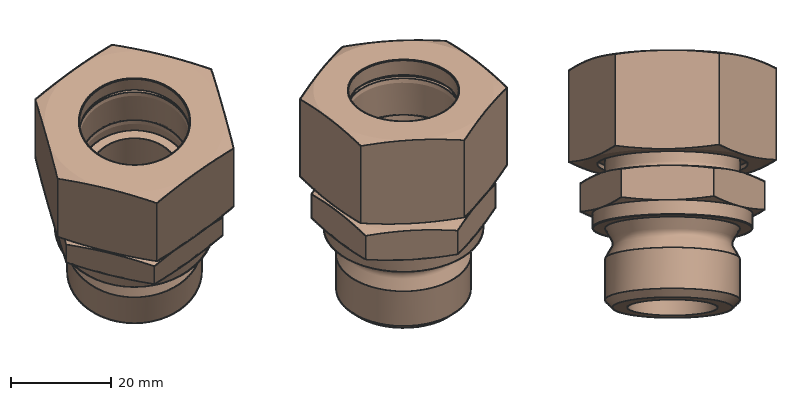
import cadquery as cq
import math


HEX_SIDES = 6
HALF_SIDE_ANGLE = 180 / HEX_SIDES
HEX_CHAMFER_ANGLE = math.radians(15)

TUBE_RADIUS = 22 / 2
UPPER_THREAD_RADIUS = 30 / 2

STUD_RADIUS = 27 / 2
STUD_CHAMFER = 1.5
COLLAR_BOTTOM = 16
COLLAR_RADIUS = 32 / 2
COLLAR_CHAMFER = 0.15
BODY_HEX_WIDTH = 32
BODY_HEX_BOTTOM = 19
BODY_HEX_TOP = 26
NECK_RADIUS = 27 / 2
NECK_FILLET = 1.2
NECK_TOP = 30
BODY_TOP = 40

GROOVE_WIDTH = 6.2
GROOVE_FLANK_ANGLE = math.radians(30)
GROOVE_ROUNDING = 1.75

FLOW_RADIUS = 18 / 2
TUBE_STOP = 32.5
CONE_HALF_ANGLE = math.radians(12)
CONE_MOUTH_RADIUS = 24.3 / 2
CONE_BOTTOM = BODY_TOP - (CONE_MOUTH_RADIUS - TUBE_RADIUS) / math.tan(CONE_HALF_ANGLE)

RING_BOTTOM = 35.8
RING_LENGTH = 8.6
RING_TOP = RING_BOTTOM + RING_LENGTH
RING_OUTER_RADIUS = 13
RING_MOUTH_RADIUS = 11.24
RING_MOUTH_HALF_ANGLE = math.radians(15)

NUT_HEX_WIDTH = 36
NUT_BOTTOM = 29
NUT_TOP = 49
NUT_BORE_RADIUS = TUBE_RADIUS
NUT_BORE_CHAMFER = 0.15
NUT_SEAT_TOP = 45.4


def revolve(profile):
    """Turn a (radius, height) outline once around the Z axis."""
    return profile.close().revolve(360, (0, 0, 0), (0, 1, 0))


def chamfered_hexagon(width, bottom, top):
    """Hexagon with two corners on the Y axis and all corners turned down at both ends."""
    corner_radius = width / 2 / math.cos(math.radians(HALF_SIDE_ANGLE))
    chamfer_drop = (corner_radius - width / 2) * math.tan(HEX_CHAMFER_ANGLE)
    prism = (
        cq.Workplane("XY", origin=(0, 0, bottom))
        .polygon(HEX_SIDES, 2 * corner_radius)
        .extrude(top - bottom)
        .rotate((0, 0, 0), (0, 0, 1), HALF_SIDE_ANGLE)
    )
    turned_blank = revolve(
        cq.Workplane("XZ")
        .moveTo(0, bottom)
        .lineTo(width / 2, bottom)
        .lineTo(corner_radius, bottom + chamfer_drop)
        .lineTo(corner_radius, top - chamfer_drop)
        .lineTo(width / 2, top)
        .lineTo(0, top)
    )
    return prism.intersect(turned_blank)


def body_outside():
    """Stud, groove and collar, the hexagon, then the neck and upper thread."""
    groove_middle = COLLAR_BOTTOM - GROOVE_WIDTH / 2
    apex_radius = STUD_RADIUS - GROOVE_WIDTH / 2 * math.tan(GROOVE_FLANK_ANGLE)
    rounding_centre = apex_radius + GROOVE_ROUNDING / math.cos(GROOVE_FLANK_ANGLE)
    tangent_radius = rounding_centre - GROOVE_ROUNDING * math.cos(GROOVE_FLANK_ANGLE)
    tangent_height = GROOVE_ROUNDING * math.sin(GROOVE_FLANK_ANGLE)
    lower_part = revolve(
        cq.Workplane("XZ")
        .moveTo(0, 0)
        .lineTo(STUD_RADIUS - STUD_CHAMFER, 0)
        .lineTo(STUD_RADIUS, STUD_CHAMFER)
        .lineTo(STUD_RADIUS, COLLAR_BOTTOM - GROOVE_WIDTH)
        .lineTo(tangent_radius, groove_middle - tangent_height)
        .threePointArc(
            (rounding_centre - GROOVE_ROUNDING, groove_middle),
            (tangent_radius, groove_middle + tangent_height),
        )
        .lineTo(STUD_RADIUS, COLLAR_BOTTOM)
        .lineTo(COLLAR_RADIUS - COLLAR_CHAMFER, COLLAR_BOTTOM)
        .lineTo(COLLAR_RADIUS, COLLAR_BOTTOM + COLLAR_CHAMFER)
        .lineTo(COLLAR_RADIUS, BODY_HEX_BOTTOM)
        .lineTo(0, BODY_HEX_BOTTOM)
    )
    upper_part = revolve(
        cq.Workplane("XZ")
        .moveTo(0, BODY_HEX_TOP)
        .lineTo(NECK_RADIUS + NECK_FILLET, BODY_HEX_TOP)
        .radiusArc((NECK_RADIUS, BODY_HEX_TOP + NECK_FILLET), NECK_FILLET)
        .lineTo(NECK_RADIUS, NECK_TOP)
        .lineTo(UPPER_THREAD_RADIUS, NECK_TOP)
        .lineTo(UPPER_THREAD_RADIUS, BODY_TOP)
        .lineTo(0, BODY_TOP)
    )
    hexagon = chamfered_hexagon(BODY_HEX_WIDTH, BODY_HEX_BOTTOM, BODY_HEX_TOP)
    return lower_part.union(hexagon).union(upper_part)


def body_passage():
    """Flow bore, tube socket and the 24 degree cone that opens it at the top."""
    return revolve(
        cq.Workplane("XZ")
        .moveTo(0, 0)
        .lineTo(FLOW_RADIUS, 0)
        .lineTo(FLOW_RADIUS, TUBE_STOP)
        .lineTo(TUBE_RADIUS, TUBE_STOP)
        .lineTo(TUBE_RADIUS, CONE_BOTTOM)
        .lineTo(CONE_MOUTH_RADIUS, BODY_TOP)
        .lineTo(0, BODY_TOP)
    )


def make_body():
    return body_outside().cut(body_passage())


def make_cutting_ring():
    """Ring whose nose fills the body cone and whose shoulder fits the nut seat."""
    nose_radius = TUBE_RADIUS + (RING_BOTTOM - CONE_BOTTOM) * math.tan(CONE_HALF_ANGLE)
    shoulder_height = NUT_SEAT_TOP - (RING_OUTER_RADIUS - NUT_BORE_RADIUS)
    top_radius = NUT_BORE_RADIUS + NUT_SEAT_TOP - RING_TOP
    mouth_depth = (RING_MOUTH_RADIUS - TUBE_RADIUS) / math.tan(RING_MOUTH_HALF_ANGLE)
    return revolve(
        cq.Workplane("XZ")
        .moveTo(TUBE_RADIUS, RING_BOTTOM)
        .lineTo(nose_radius, RING_BOTTOM)
        .lineTo(CONE_MOUTH_RADIUS, BODY_TOP)
        .lineTo(RING_OUTER_RADIUS, BODY_TOP)
        .lineTo(RING_OUTER_RADIUS, shoulder_height)
        .lineTo(top_radius, RING_TOP)
        .lineTo(RING_MOUTH_RADIUS, RING_TOP)
        .lineTo(TUBE_RADIUS, RING_TOP - mouth_depth)
    )


def make_nut():
    """Hexagon nut with a threaded bore, a 45 degree ring seat and a chamfered tube bore."""
    seat_bottom = NUT_SEAT_TOP - (UPPER_THREAD_RADIUS - NUT_BORE_RADIUS)
    passage = revolve(
        cq.Workplane("XZ")
        .moveTo(0, NUT_BOTTOM)
        .lineTo(UPPER_THREAD_RADIUS, NUT_BOTTOM)
        .lineTo(UPPER_THREAD_RADIUS, seat_bottom)
        .lineTo(NUT_BORE_RADIUS, NUT_SEAT_TOP)
        .lineTo(NUT_BORE_RADIUS, NUT_TOP - NUT_BORE_CHAMFER)
        .lineTo(NUT_BORE_RADIUS + NUT_BORE_CHAMFER, NUT_TOP)
        .lineTo(0, NUT_TOP)
    )
    return chamfered_hexagon(NUT_HEX_WIDTH, NUT_BOTTOM, NUT_TOP).cut(passage)


body = make_body()
cutting_ring = make_cutting_ring()
nut = make_nut()

result = cq.Compound.makeCompound([body.val(), cutting_ring.val(), nut.val()])